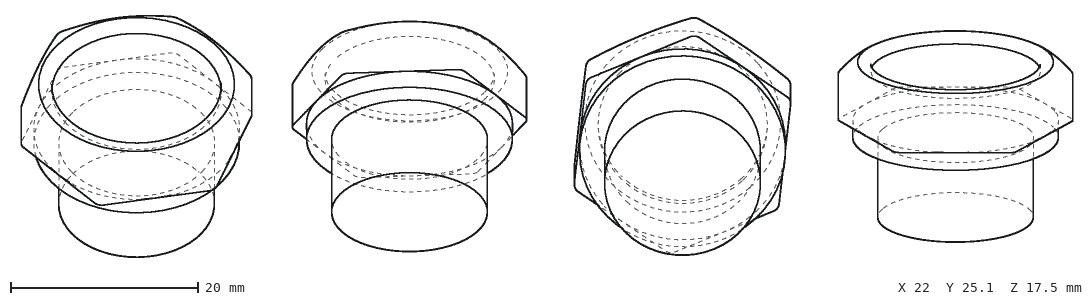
import cadquery as cq
import math

across_flats = 22.0
head_height = 6.5
corner_radius = 1.03
crown_diameter = 20.93
crown_angle = 30
crown_edge_radius = 0.3

recess_diameter = 18.1
recess_depth = 1.0
recess_lip = 0.2

collar_diameter = across_flats
collar_height = 1.98
shank_diameter = 16.65
shank_height = 9.0

collar_bottom = shank_height
head_bottom = collar_bottom + collar_height
head_top = head_bottom + head_height


def cylinder(diameter, bottom, height):
    return cq.Workplane("XY").workplane(offset=bottom).circle(diameter / 2).extrude(height)


def crown_envelope():
    """Solid of revolution whose conical top trims the corners of the hexagon."""
    outer_radius = across_flats
    crown_radius = crown_diameter / 2
    drop = (outer_radius - crown_radius) * math.tan(math.radians(crown_angle))
    return (
        cq.Workplane("XZ")
        .moveTo(0, 0)
        .lineTo(outer_radius, 0)
        .lineTo(outer_radius, head_top - drop)
        .lineTo(crown_radius, head_top)
        .lineTo(0, head_top)
        .close()
        .revolve(360, (0, 0, 0), (0, 1, 0))
    )


def hex_head():
    across_corners = across_flats / math.cos(math.radians(30))
    prism = (
        cq.Workplane("XY")
        .workplane(offset=head_bottom)
        .polygon(6, across_corners)
        .extrude(head_height)
        .rotate((0, 0, 0), (0, 0, 1), 30)
        .edges("|Z")
        .fillet(corner_radius)
    )
    crowned = prism.intersect(crown_envelope())
    return crowned.edges("not(|Z or <Z or >Z)").fillet(crown_edge_radius)


def recess():
    floor = head_top - recess_depth
    return cylinder(recess_diameter, floor, recess_depth)


head = hex_head().cut(recess())
inner_rim = cq.selectors.RadiusNthSelector(0)
head = head.faces(">Z").edges(inner_rim).fillet(recess_lip)

collar = cylinder(collar_diameter, collar_bottom, collar_height)
shank = cylinder(shank_diameter, 0, shank_height)

result = shank.union(collar).union(head)